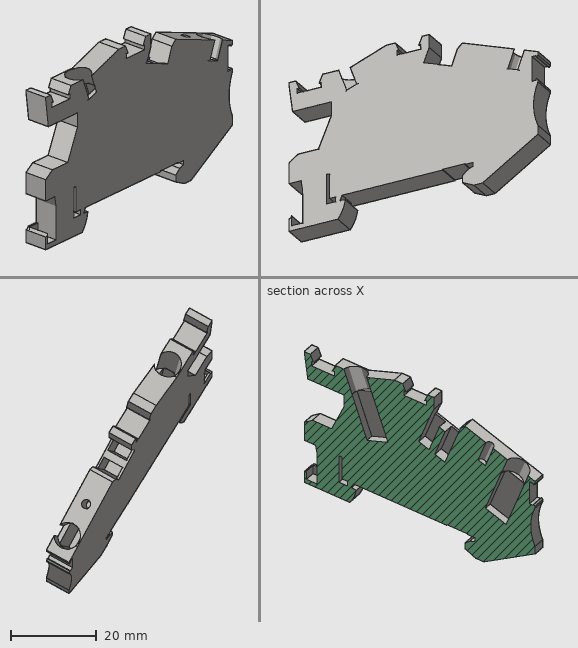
import cadquery as cq
import math

WIDTH = 6.1
LENGTH = 65.9
HEIGHT = 42.5

SHOULDER_Z = 39.1
RAIL_Z = 6.0
CLAMP_TOP_Z = 4.75
WAIST_TOP_Z = 12.5

ARM_UNDERSIDE_Z = 31.25
BLOCK_TOP_Z = 19.7

TOWER_BACK_Y = 37.1
RECESS_Y = 11.2
HOOK_ROOT_Y = 48.65
HOOK_TIP_Y = 45.85

TILT = 20.0
TILT_SIN = math.sin(math.radians(TILT))
TILT_COS = math.cos(math.radians(TILT))

GROOVE_MOUTH = 7.1
GROOVE_DEPTH = 3.3
GROOVE_LIP_DEPTH = 2.1
GROOVE_LIP_REACH = 0.9
GROOVE_UNDERCUT = 0.5
TOWER_GROOVE_Y = 31.7
ARM_GROOVE_Y = 5.35

LABEL_FLOOR_Y = 64.3
LABEL_LOW_Z = 23.45
LABEL_HIGH_Z = 29.9
LABEL_LIP_START_Y = 65.25
LABEL_LIP_TIP_Y = 65.5
LABEL_LIP_HEIGHT = 0.4

SLOT_FRONT_Y = 9.95
SLOT_WIDTH = 0.8
SLOT_TOP_RADIUS = 0.25

RELIEF_Y = 40.65
RELIEF_LENGTH = 5.85
RELIEF_DEPTH = 0.2

LUG_X = 1.5
LUG_FRONT_Y = 12.3
LUG_TOP_BACK_Y = 14.05
LUG_LOW_BACK_Y = 13.5

WAIST_Y = 3.6
SHELF_Z = 3.95
FOOT_FILLET = 0.65
RELEASE_WALL = 0.5
RELEASE_DEPTH = 2.65

NOTCH_LOW_Y, NOTCH_LOW_Z = 43.0, 32.75
NOTCH_HIGH_Y = 35.65
NOTCH_FLOOR_LENGTH = (NOTCH_LOW_Y - NOTCH_HIGH_Y) / TILT_COS
NOTCH_HIGH_Z = NOTCH_LOW_Z + NOTCH_FLOOR_LENGTH * TILT_SIN
NOTCH_WALL_LENGTH = 4.3
NOTCH_WALL_TOP_Y = NOTCH_LOW_Y + NOTCH_WALL_LENGTH * TILT_SIN
NOTCH_WALL_TOP_Z = NOTCH_LOW_Z + NOTCH_WALL_LENGTH * TILT_COS
NOTCH_POCKET_X = 0.6
NOTCH_POCKET_WIDTH = 5.0
NOTCH_POCKET_DEPTH = 8.55
NOTCH_BRIDGE_START = 2.95
NOTCH_BRIDGE_END = 4.8

ENTRY_X = 3.35
ENTRY_RADIUS = 3.1
REAR_ENTRY_DEPTH = 5.1
FRONT_ENTRY_DEPTH = 5.9
CHUTE_X = 1.25
CHUTE_WIDTH = 3.7
CHUTE_DEPTH = 18.45
REAR_ENTRY_Y, REAR_ENTRY_Z = 60.95, 32.6
FRONT_ENTRY_Y, FRONT_ENTRY_Z = 14.55, 39.35

PROBE_X = 3.0
PROBE_Y, PROBE_Z = 52.9, 35.6
PROBE_RADIUS = 1.05
PROBE_DEPTH = 6.6

CLEARANCE = 3.95


def prism(points, x_start=0.0, thickness=WIDTH):
    """Extrude a closed (Y, Z) outline along X."""
    profile = cq.Workplane("YZ").workplane(offset=x_start).polyline(points).close()
    return profile.extrude(thickness)


def tilted_plane(y, z, lean):
    """Plane through (y, z) whose normal leans toward +Y (lean = 1) or -Y (lean = -1).

    Its local y runs along X and its local x runs toward -Y.
    """
    return cq.Plane(
        origin=(0, y, z),
        xDir=(0, -TILT_COS, lean * TILT_SIN),
        normal=(0, lean * TILT_SIN, TILT_COS),
    )


def body():
    """Side outline of the terminal block, with all grooves and recesses still filled."""
    outline = (
        cq.Workplane("YZ")
        .moveTo(TOWER_BACK_Y, HEIGHT)
        .lineTo(25.75, HEIGHT)
        .lineTo(16.35, SHOULDER_Z)
        .lineTo(0, SHOULDER_Z)
        .lineTo(0, 38.3)
        .lineTo(0.9, ARM_UNDERSIDE_Z)
        .lineTo(RECESS_Y, ARM_UNDERSIDE_Z)
        .lineTo(RECESS_Y, 27.6)
        .lineTo(7.8, BLOCK_TOP_Z)
        .lineTo(2.4, BLOCK_TOP_Z)
        .lineTo(0, 18.0)
        .lineTo(0, WAIST_TOP_Z)
        .lineTo(3.15, WAIST_TOP_Z)
        .lineTo(WAIST_Y, 9.95)
        .lineTo(WAIST_Y, SHELF_Z)
        .lineTo(FOOT_FILLET, SHELF_Z)
        .radiusArc((0, SHELF_Z - FOOT_FILLET), FOOT_FILLET)
        .lineTo(0, 0)
        .lineTo(12.9, 0)
        .threePointArc((14.2, 2.05), (14.9, 4.6))
        .lineTo(14.05, CLAMP_TOP_Z)
        .lineTo(SLOT_FRONT_Y, CLAMP_TOP_Z)
        .lineTo(SLOT_FRONT_Y, RAIL_Z)
        .lineTo(HOOK_ROOT_Y, RAIL_Z)
        .lineTo(HOOK_ROOT_Y, 5.0)
        .lineTo(47.3, 4.5)
        .lineTo(HOOK_TIP_Y, 3.2)
        .lineTo(HOOK_TIP_Y, 1.45)
        .lineTo(48.9, 0)
        .lineTo(51.3, 0)
        .lineTo(LENGTH, 9.15)
        .lineTo(LENGTH, 11.45)
        .threePointArc((64.7, 17.2), (LENGTH, 22.9))
        .lineTo(LENGTH, 30.85)
        .lineTo(45.85, 38.1)
        .lineTo(NOTCH_WALL_TOP_Y, NOTCH_WALL_TOP_Z)
        .lineTo(NOTCH_LOW_Y, NOTCH_LOW_Z)
        .lineTo(NOTCH_HIGH_Y, NOTCH_HIGH_Z)
        .lineTo(TOWER_BACK_Y, SHOULDER_Z)
        .close()
    )
    return outline.extrude(WIDTH)


def marker_groove(center_y, top_z):
    """Cutter for a snap-in marker groove with two overhanging lips."""
    half_mouth = GROOVE_MOUTH / 2
    half_throat = half_mouth - GROOVE_LIP_REACH
    half_floor = half_throat + GROOVE_UNDERCUT
    lip_z = top_z - GROOVE_LIP_DEPTH
    floor_z = top_z - GROOVE_DEPTH
    return prism([
        (center_y + half_mouth, top_z),
        (center_y + half_throat, lip_z),
        (center_y + half_floor, lip_z),
        (center_y + half_floor, floor_z),
        (center_y - half_floor, floor_z),
        (center_y - half_floor, lip_z),
        (center_y - half_throat, lip_z),
        (center_y - half_mouth, top_z),
    ])


def label_recess():
    """Cutter for the rear label recess; it narrows at the two small lips by the opening."""
    return prism([
        (LABEL_FLOOR_Y, LABEL_LOW_Z),
        (LABEL_LIP_START_Y, LABEL_LOW_Z),
        (LABEL_LIP_TIP_Y, LABEL_LOW_Z + LABEL_LIP_HEIGHT),
        (LENGTH, LABEL_LOW_Z),
        (LENGTH, LABEL_HIGH_Z),
        (LABEL_LIP_TIP_Y, LABEL_HIGH_Z - LABEL_LIP_HEIGHT),
        (LABEL_LIP_START_Y, LABEL_HIGH_Z),
        (LABEL_FLOOR_Y, LABEL_HIGH_Z),
    ])


def spring_slot():
    """Cutter that frees the clamping foot from the body."""
    slot_height = WAIST_TOP_Z - RAIL_Z
    slot = cq.Workplane("XY").box(WIDTH, SLOT_WIDTH, slot_height, centered=False)
    slot = slot.edges("|X and >Z").fillet(SLOT_TOP_RADIUS)
    return slot.translate((0, SLOT_FRONT_Y, RAIL_Z))


def rail_relief():
    relief = cq.Workplane("XY").box(WIDTH, RELIEF_LENGTH, RELIEF_DEPTH, centered=False)
    return relief.translate((0, RELIEF_Y, RAIL_Z))


def release_pocket():
    """Cutter for the pocket in the foot shelf, between the waist and the rounded front lip."""
    pocket = cq.Workplane("XY").box(
        WIDTH - RELEASE_WALL, WAIST_Y - FOOT_FILLET, RELEASE_DEPTH, centered=False
    )
    return pocket.translate((RELEASE_WALL, FOOT_FILLET, SHELF_Z - RELEASE_DEPTH))


def stop_lug():
    """Lug that closes part of the gap above the clamping foot."""
    return prism(
        [
            (LUG_FRONT_Y, CLAMP_TOP_Z),
            (LUG_FRONT_Y, RAIL_Z),
            (LUG_TOP_BACK_Y, RAIL_Z),
            (LUG_LOW_BACK_Y, CLAMP_TOP_Z),
        ],
        LUG_X,
        WIDTH - LUG_X,
    )


def notch_pocket(start, end):
    """Cutter for a pocket sunk square into the notch floor between two distances along it."""
    pocket = cq.Workplane(tilted_plane(NOTCH_LOW_Y, NOTCH_LOW_Z, 1))
    return (
        pocket.center((start + end) / 2, NOTCH_POCKET_X + NOTCH_POCKET_WIDTH / 2)
        .rect(end - start, NOTCH_POCKET_WIDTH)
        .extrude(-NOTCH_POCKET_DEPTH)
    )


def tilted_bore(x, y, z, lean, radius, depth):
    """Cutter for a round hole whose axis leans by the common tilt."""
    plane = tilted_plane(y, z, lean)
    bore = cq.Workplane(plane).workplane(offset=CLEARANCE).center(0, x).circle(radius)
    return bore.extrude(-depth - CLEARANCE)


def wire_entry(y, z, lean, mouth_depth):
    """Cutter for a wire entry: a round mouth followed by a rectangular chute."""
    mouth = tilted_bore(ENTRY_X, y, z, lean, ENTRY_RADIUS, mouth_depth)
    chute = (
        cq.Workplane(tilted_plane(y, z, lean))
        .workplane(offset=-mouth_depth)
        .center(0, CHUTE_X + CHUTE_WIDTH / 2)
        .rect(2 * ENTRY_RADIUS, CHUTE_WIDTH)
        .extrude(mouth_depth - CHUTE_DEPTH)
    )
    return mouth.union(chute)


result = (
    body()
    .cut(marker_groove(TOWER_GROOVE_Y, HEIGHT))
    .cut(marker_groove(ARM_GROOVE_Y, SHOULDER_Z))
    .cut(label_recess())
    .cut(spring_slot())
    .cut(rail_relief())
    .cut(release_pocket())
    .union(stop_lug())
    .cut(notch_pocket(0, NOTCH_BRIDGE_START))
    .cut(notch_pocket(NOTCH_BRIDGE_END, NOTCH_FLOOR_LENGTH))
    .cut(wire_entry(REAR_ENTRY_Y, REAR_ENTRY_Z, 1, REAR_ENTRY_DEPTH))
    .cut(wire_entry(FRONT_ENTRY_Y, FRONT_ENTRY_Z, -1, FRONT_ENTRY_DEPTH))
    .cut(tilted_bore(PROBE_X, PROBE_Y, PROBE_Z, 1, PROBE_RADIUS, PROBE_DEPTH))
)